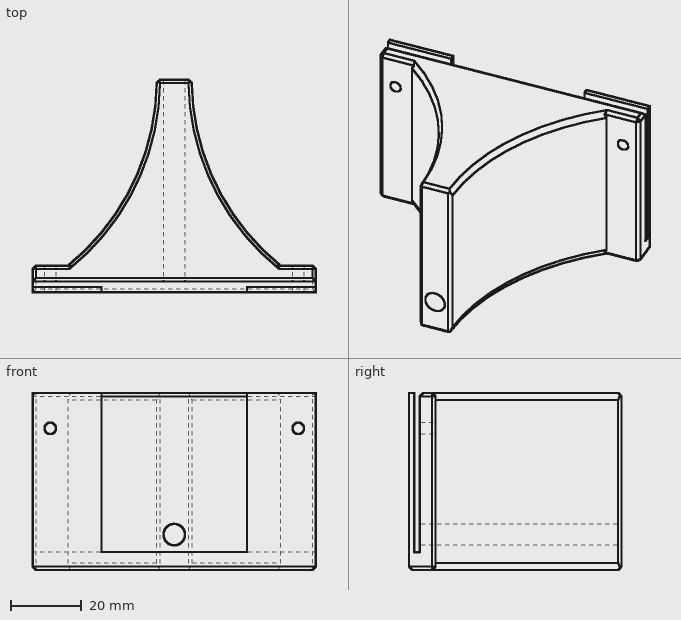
import cadquery as cq

width = 80
depth = 60
height = 50.0
chamfer = 1.0

plate_depth = 7.5
lip_depth = 1.5
wall_front = 3.0
slot_floor = 5.0
window_width = 41.0

tip_half_width = 5.0
root_half_width = 30.0
flare_depth = 2.0
flare_width = 1.0
flare_knee_depth = 0.5
flare_knee_width = 0.6

cable_hole_diameter = 6.0
cable_hole_z = 10.0
screw_hole_diameter = 3.2
screw_hole_z = 40
screw_spacing = 70.0

arc_run = root_half_width - tip_half_width
arc_rise = depth - plate_depth
arc_radius = (arc_run**2 + arc_rise**2) / (2 * arc_run)
arc_center_x = tip_half_width + arc_radius


def block(x_size, y_start, y_end, z_start, z_end):
    """Box centered on X between the given Y and Z limits."""
    box = cq.Workplane("XY").box(x_size, y_end - y_start, z_end - z_start, centered=(True, False, False))
    return box.translate((0, y_start, z_start))


def make_plate():
    wall = block(width, wall_front, plate_depth, 0, height)
    wall = wall.edges(">Y or >Z or (<Z and |Y)").chamfer(chamfer)
    front = block(width, 0, wall_front, 0, height)
    front = front.edges("<Z and (not >Y)").chamfer(chamfer)
    slot = block(width, lip_depth, wall_front, slot_floor, height)
    window = block(window_width, 0, wall_front, slot_floor, height)
    return wall.union(front.cut(slot).cut(window))


def make_side_cutter(side):
    """Cylinder that hollows one flank of the buttress."""
    cylinder = cq.Workplane("XY").circle(arc_radius).extrude(height)
    return cylinder.translate((side * arc_center_x, depth, 0))


def make_flare_cutter(side):
    """Cylinder widening in two steps at both ends, which bevels the flank edges."""
    knee_radius = arc_radius + flare_knee_width
    end_radius = arc_radius + flare_width
    profile = [
        (0, 0),
        (end_radius, 0),
        (knee_radius, flare_knee_depth),
        (arc_radius, flare_depth),
        (arc_radius, height - flare_depth),
        (knee_radius, height - flare_knee_depth),
        (end_radius, height),
        (0, height),
    ]
    cutter = cq.Workplane("XZ").polyline(profile).close().revolve(360, (0, 0), (0, 1))
    return cutter.translate((side * arc_center_x, depth, 0))


def make_buttress():
    body = block(2 * root_half_width, wall_front + chamfer, depth, 0, height)
    body = body.edges(">Y and |X").chamfer(chamfer)
    for side in (-1, 1):
        body = body.cut(make_side_cutter(side))
    tip_base = depth - chamfer
    for side in (-1, 1):
        corner = (
            cq.Workplane("XY")
            .moveTo(side * tip_half_width, tip_base)
            .lineTo(side * (tip_half_width - chamfer), depth)
            .lineTo(side * (tip_half_width + chamfer), depth)
            .lineTo(side * (tip_half_width + chamfer), tip_base)
            .close()
            .extrude(height)
        )
        body = body.cut(corner).cut(make_flare_cutter(side))
    return body


def hole(diameter, x, z):
    """Cylinder along Y through the whole part."""
    return cq.Workplane("XZ").center(x, z).circle(diameter / 2).extrude(-depth)


result = make_plate().union(make_buttress())
result = result.cut(hole(cable_hole_diameter, 0, cable_hole_z))
for side in (-1, 1):
    result = result.cut(hole(screw_hole_diameter, side * screw_spacing / 2, screw_hole_z))